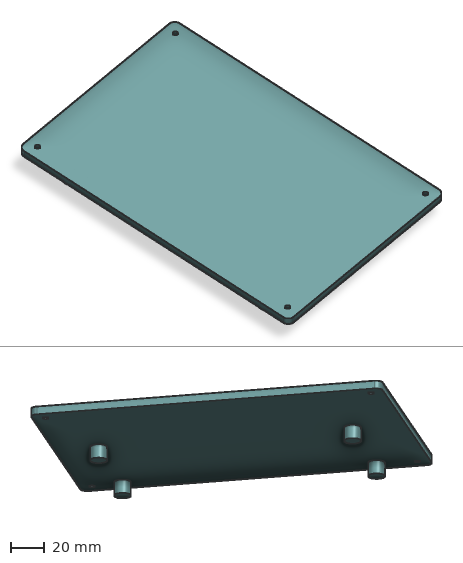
import cadquery as cq

plate_length = 214.1
plate_width = 139.6
plate_thickness = 5.0
corner_radius = 4.3

hole_diameter = 3.2
hole_edge_inset = 8.0

total_height = 13.3
standoff_diameter = 10.0
standoff_height = total_height - plate_thickness
standoff_left_x = -75.0
standoff_right_x = 79.9
standoff_front_y = -59.0
standoff_back_y = 5.0


def make_plate():
    """Rectangular plate with rounded corners and a hole near each corner."""
    plate = (
        cq.Workplane("XY")
        .rect(plate_length, plate_width)
        .extrude(plate_thickness)
        .edges("|Z")
        .fillet(corner_radius)
    )
    return (
        plate.faces(">Z")
        .workplane()
        .rect(plate_length - 2 * hole_edge_inset, plate_width - 2 * hole_edge_inset, forConstruction=True)
        .vertices()
        .hole(hole_diameter)
    )


def make_standoffs():
    """Four solid round standoffs hanging below the plate."""
    centers = [
        (x, y)
        for x in (standoff_left_x, standoff_right_x)
        for y in (standoff_front_y, standoff_back_y)
    ]
    return cq.Workplane("XY").pushPoints(centers).circle(standoff_diameter / 2).extrude(-standoff_height)


result = make_plate().union(make_standoffs())